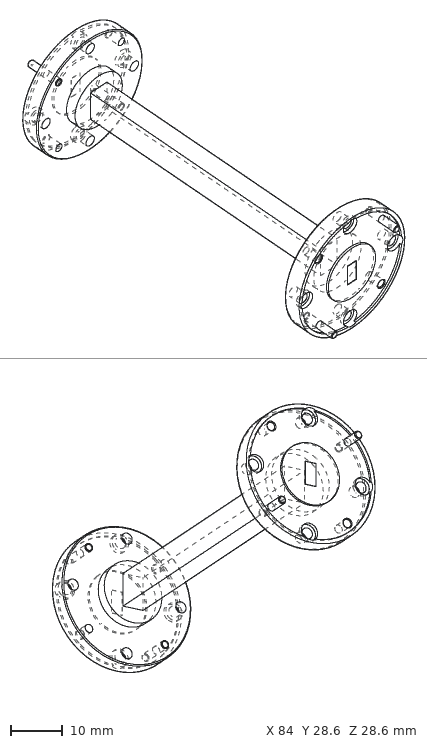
import cadquery as cq
import math

total_length = 83.95
pin_projection = 3.9
face_x = total_length / 2 - pin_projection

flange_diameter = 28.55
flange_thickness = 4.0
flange_chamfer = 0.25
hub_diameter = 12.8
hub_length = 2.35

relief_outer_diameter = 26.9
relief_depth = 0.5

bar_width = 4.45
bar_height = 6.8
aperture_width = 2.35
aperture_height = 4.8
aperture_depth = 0.1

bolt_circle_radius = 11.9
screw_hole_diameter = 2.3
counterbore_diameter = 3.6
counterbore_depth = 1.35
pin_diameter = 1.6
open_hole_diameter = 1.7
open_hole_chamfer = 0.2
pin_chamfer = 0.2

SIDES = (-1, 1)
SCREW_ANGLES = (0, 90, 180, 270)


def pin_angles(side):
    """Angles, from +Y towards +Z, of the two pins at one end."""
    first = 45 if side > 0 else 135
    return (first, first + 180)


def open_hole_angles(side):
    """The empty alignment holes face the pins of the opposite end."""
    return pin_angles(-side)


def axis_point(side, depth, angle, radius):
    """Point at a depth inward from a flange face, at polar position (radius, angle)."""
    turn = math.radians(angle)
    return cq.Vector(side * (face_x - depth), radius * math.cos(turn), radius * math.sin(turn))


def rod(side, depth_from, depth_to, diameter, angle=0, radius=0):
    """Cylinder along X, between two depths measured inward from a flange face."""
    start = axis_point(side, depth_from, angle, radius)
    length = depth_to - depth_from
    return cq.Workplane(cq.Solid.makeCylinder(diameter / 2, length, start, cq.Vector(-side, 0, 0)))


def make_flange(side):
    """Chamfered disc with its hub, before any cuts."""
    inner_edge = ">X" if side < 0 else "<X"
    disc = rod(side, 0, flange_thickness, flange_diameter)
    disc = disc.faces(inner_edge).edges().chamfer(flange_chamfer)
    hub = rod(side, flange_thickness, flange_thickness + hub_length, hub_diameter)
    return disc.union(hub)


def face_relief(side):
    """Ring-shaped cutter for the shallow relief in a flange face."""
    ring = rod(side, 0, relief_depth, relief_outer_diameter)
    return ring.cut(rod(side, 0, relief_depth, hub_diameter))


def aperture(side):
    """Shallow rectangular recess cutter at the centre of a flange face."""
    recess = cq.Workplane("XY").box(aperture_depth, aperture_width, aperture_height)
    return recess.translate((side * (face_x - aperture_depth / 2), 0, 0))


def open_hole(side, angle):
    """Through hole cutter, countersunk where it meets the floor of the relief."""
    hole = rod(side, 0, flange_thickness, open_hole_diameter, angle, bolt_circle_radius)
    sink_start = axis_point(side, relief_depth, angle, bolt_circle_radius)
    sink = cq.Solid.makeCone(
        open_hole_diameter / 2 + open_hole_chamfer,
        open_hole_diameter / 2,
        open_hole_chamfer,
        sink_start,
        cq.Vector(-side, 0, 0),
    )
    return hole.union(cq.Workplane(sink))


def make_waveguide():
    """Bar with a flange at each end, and all the holes in the flanges."""
    bar_length = 2 * (face_x - flange_thickness)
    body = cq.Workplane("XY").box(bar_length, bar_width, bar_height)
    for side in SIDES:
        body = body.union(make_flange(side))
        body = body.cut(face_relief(side)).cut(aperture(side))
        for angle in SCREW_ANGLES:
            body = body.cut(rod(side, 0, flange_thickness, screw_hole_diameter, angle, bolt_circle_radius))
            body = body.cut(rod(side, 0, counterbore_depth, counterbore_diameter, angle, bolt_circle_radius))
        for angle in pin_angles(side):
            body = body.cut(rod(side, 0, flange_thickness, pin_diameter, angle, bolt_circle_radius))
        for angle in open_hole_angles(side):
            body = body.cut(open_hole(side, angle))
    return body


def make_pin(side, angle):
    """Alignment pin, flush with the flange's inner face and chamfered at both ends."""
    pin = rod(side, -pin_projection, flange_thickness, pin_diameter, angle, bolt_circle_radius)
    return pin.faces("|X").edges().chamfer(pin_chamfer)


waveguide = make_waveguide()
pins = [make_pin(side, angle) for side in SIDES for angle in pin_angles(side)]

result = cq.Compound.makeCompound([waveguide.val(), *[pin.val() for pin in pins]])